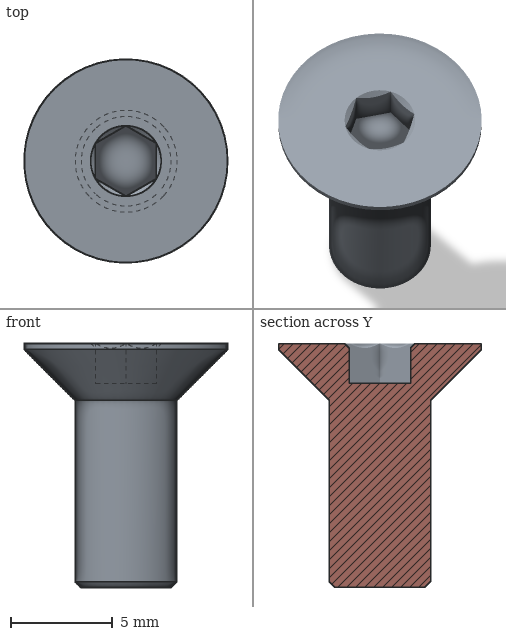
import cadquery as cq
import math

length = 12.0
head_diameter = 10.0
shank_diameter = 5.0
rim_height = 0.3
tip_chamfer = 0.3
socket_across_flats = 3.0
socket_depth = 1.95
socket_chamfer_angle = 45.0

head_radius = head_diameter / 2
shank_radius = shank_diameter / 2
rim_bottom = length - rim_height
cone_bottom = rim_bottom - (head_radius - shank_radius)


def screw_body():
    """Revolve the half profile of the shank, conical head and rim."""
    return (
        cq.Workplane("XZ")
        .lineTo(shank_radius - tip_chamfer, 0)
        .lineTo(shank_radius, tip_chamfer)
        .lineTo(shank_radius, cone_bottom)
        .lineTo(head_radius, rim_bottom)
        .lineTo(head_radius, length)
        .lineTo(0, length)
        .close()
        .revolve(360, (0, 0), (0, 1))
    )


def hex_socket():
    """Flat-bottomed hexagonal socket with two corners on the Y axis."""
    corner_radius = socket_across_flats / math.sqrt(3)
    hexagon = (
        cq.Workplane("XY")
        .workplane(offset=length - socket_depth)
        .transformed(rotate=(0, 0, 90))
        .polygon(6, 2 * corner_radius)
        .extrude(socket_depth)
    )
    cone_depth = corner_radius * math.tan(math.radians(socket_chamfer_angle))
    entry_cone = cq.Workplane(
        cq.Solid.makeCone(
            corner_radius, 0, cone_depth, cq.Vector(0, 0, length), cq.Vector(0, 0, -1)
        )
    )
    return hexagon.union(entry_cone)


result = screw_body().cut(hex_socket())